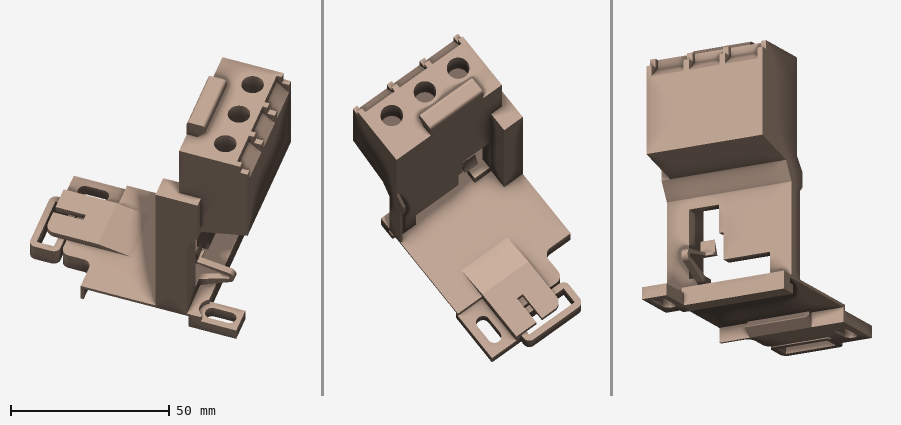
import cadquery as cq

WIDTH = 76.2
DEPTH = 45.0
HEIGHT = 85.0

PLATE_TOP = 5.95
PLATE_THICKNESS = 1.0
PLATE_RIGHT = 61.6
PLATE_DEPTH = 44.8
PLATE_UNDERSIDE = PLATE_TOP - PLATE_THICKNESS
CLIP_LEFT = 10.8
CLIP_RIGHT = 21.3
CLIP_FRONT = 10.9
CLIP_CORNER_RADIUS = 2.7
SKIRT_RIGHT = CLIP_RIGHT + PLATE_THICKNESS

EAR_LEFT = 3.5
EAR_FRONT = 35.1
EAR_THICKNESS = 4.0
SLOT_LENGTH = 10.3
SLOT_WIDTH = 4.4
EAR_SLOT_CENTER = (11.8, 39.8)
FOOT_LEFT = 57.55
FOOT_RIGHT = 73.4
FOOT_DEPTH = 8.8
FOOT_SLOT_CENTER = (66.7, 4.4)
SCREW_HEAD_DIAMETER = 8.2

RING_RIGHT = 10.0
RING_BACK = 33.15
RING_WALL = 2.1
RING_CORNER_RADIUS = 2.2

PAD_FRONT = 16.8
PAD_TOP = 7.9
PAD_RAMP_END = 32.4
PAD_CORNER_RADIUS = 3.0
PAD_SLOT_FRONT = 24.9
PAD_SLOT_BACK = 27.2
PAD_SLOT_END = 13.6

TOOTH_TIP = (25.75, 2.5)
TOOTH_ROOT = (23.7, 3.9)
CATCH_LEFT = 55.5
CATCH_TOP = 3.0
CATCH_FRONT = 5.1

BODY_LEFT = 53.2
BODY_FRONT = 3.15
BODY_TOP = 79.1
BODY_LOW_RIGHT = 47.0
WALL_RIGHT = 56.95
SHOULDER_RIGHT = 60.5
SHOULDER_TOP = 43.1
SHOULDER_BOTTOM = 36.9
STEP_LEFT = 73.7
STEP_HEIGHT = 2.9

WINDOW_FRONT = 8.1
WINDOW_STEP_BACK = 18.9
WINDOW_MIDDLE_BACK = 20.4
WINDOW_BACK = 37.2
WINDOW_TOP = 33.2
WINDOW_STEP = 23.8
WINDOW_LOW_TOP = 14.7

HOLE_DIAMETER = 7.1
HOLE_DEPTH = 10.2
HOLE_X = 66.05
HOLE_FIRST_Y = 10.8
HOLE_PITCH = 13.2
HOLE_COUNT = 3
ENTRY_LEFT = 72.0
ENTRY_DROP = 3.6
ENTRY_SPANS = ((5.0, 16.5), (18.45, 29.5), (31.45, 43.2))

LIP_FRONT = 10.5
LIP_BACK = 31.4
LIP_RIGHT = 59.4
LIP_UNDERCUT_TOP = 82.1
LIP_ROUND = 1.0

COLUMN_LEFT = 46.4
COLUMN_DEPTH = 7.4
COLUMN_TOP = 59.0

STRIP_THICKNESS = 0.9
STRIP_LEFT = 51.3
BARB_LEFT = 49.7
BARB_TOP = 46.2
BARB_SHOULDER = 42.0
BARB_BOTTOM = 36.9

SPRING_FRONT = 11.65
SPRING_BACK = 13.9
SPRING_ROOT_TOP = 10.1
SPRING_ROOT_BOTTOM = 7.1
SPRING_TIP_X = 68.7
SPRING_INNER_TIP_X = 67.15
SPRING_TIP_Z = 14.45
SPRING_BEND_X = 67.3
SPRING_INNER_BEND_X = 66.2
SPRING_BEND_HALF = 2.0
SPRING_INNER_BEND_HALF = 0.8
SPRING_TOP = 17.9
SPRING_STRIP = 0.9
WEDGE_LEFT = 54.4
WEDGE_RIGHT = 56.1
WEDGE_BACK = 16.8
WEDGE_BOTTOM = 17.25
WEDGE_HEEL = 17.4
WEDGE_TOP = 22.2


def block(x_span, y_span, z_span):
    """Box between the given limits along X, Y and Z."""
    size = [high - low for low, high in (x_span, y_span, z_span)]
    return cq.Workplane("XY").box(*size, centered=False).translate((x_span[0], y_span[0], z_span[0]))


def extrude_along_y(outline, front, back):
    """Solid from a closed XZ outline, reaching from front to back along Y."""
    return outline.close().extrude(front - back).translate((0, front, 0))


def xz_prism(points, front, back):
    """Prism with a straight-sided XZ outline."""
    return extrude_along_y(cq.Workplane("XZ").polyline(points), front, back)


def screw_slot(center, top):
    return cq.Workplane("XY").center(*center).slot2D(SLOT_LENGTH, SLOT_WIDTH).extrude(top)


def base_plate():
    plate = block((CLIP_RIGHT, PLATE_RIGHT), (0, PLATE_DEPTH), (PLATE_UNDERSIDE, PLATE_TOP))
    skirt = block((CLIP_RIGHT, SKIRT_RIGHT), (0, PLATE_DEPTH), (0, PLATE_TOP))
    return plate.union(skirt)


def clip_end():
    """Thick end left of the plate, rounded outside and blended into the skirt."""
    radius = CLIP_CORNER_RADIUS
    outline = (
        cq.Workplane("XY")
        .moveTo(CLIP_LEFT, EAR_FRONT)
        .lineTo(CLIP_LEFT, CLIP_FRONT + radius)
        .radiusArc((CLIP_LEFT + radius, CLIP_FRONT), -radius)
        .lineTo(CLIP_RIGHT - radius, CLIP_FRONT)
        .radiusArc((CLIP_RIGHT, CLIP_FRONT - radius), radius)
        .lineTo(CLIP_RIGHT, EAR_FRONT)
        .close()
    )
    return outline.extrude(PLATE_TOP)


def mounting_ear():
    ear = block((EAR_LEFT, CLIP_RIGHT), (EAR_FRONT, PLATE_DEPTH), (0, EAR_THICKNESS))
    bridge = block((EAR_LEFT, CLIP_RIGHT), (RING_BACK, EAR_FRONT), (0, PLATE_TOP))
    return ear.union(bridge).cut(screw_slot(EAR_SLOT_CENTER, EAR_THICKNESS))


def pull_ring():
    ring = block((0, RING_RIGHT), (CLIP_FRONT, RING_BACK), (0, PLATE_TOP))
    ring = ring.edges("|Z").fillet(RING_CORNER_RADIUS)
    opening = block(
        (RING_WALL, RING_RIGHT - RING_WALL),
        (CLIP_FRONT + RING_WALL, RING_BACK - RING_WALL),
        (0, PLATE_TOP),
    )
    return ring.cut(opening)


def thumb_pad():
    profile = [
        (EAR_LEFT, PLATE_TOP),
        (EAR_LEFT, PAD_TOP),
        (CLIP_RIGHT, PAD_TOP),
        (PAD_RAMP_END, PLATE_TOP),
    ]
    pad = xz_prism(profile, PAD_FRONT, EAR_FRONT)
    pad = pad.edges("|Z and <X and <Y").fillet(PAD_CORNER_RADIUS)
    slot = block((EAR_LEFT, PAD_SLOT_END), (PAD_SLOT_FRONT, PAD_SLOT_BACK), (PLATE_TOP, PAD_TOP))
    return pad.cut(slot)


def rail_tooth():
    profile = [
        (SKIRT_RIGHT, 0),
        TOOTH_TIP,
        TOOTH_ROOT,
        (TOOTH_ROOT[0], PLATE_UNDERSIDE),
        (SKIRT_RIGHT, PLATE_UNDERSIDE),
    ]
    return xz_prism(profile, CLIP_FRONT, RING_BACK)


def rail_shoulder():
    """Rail stop under the right edge of the plate, with its catch."""
    stop = block((FOOT_LEFT, PLATE_RIGHT), (0, PLATE_DEPTH), (0, PLATE_TOP))
    catch = block((CATCH_LEFT, FOOT_LEFT), (CATCH_FRONT, PLATE_DEPTH), (0, CATCH_TOP))
    return stop.union(catch)


def mounting_foot():
    return block((FOOT_LEFT, FOOT_RIGHT), (0, FOOT_DEPTH), (0, EAR_THICKNESS))


def foot_screw_clearance():
    """Screw slot in the foot, with room for the screw head where the plate overlaps it."""
    slot_end_x = FOOT_SLOT_CENTER[0] - (SLOT_LENGTH - SLOT_WIDTH) / 2
    head_room = cq.Workplane("XY", origin=(slot_end_x, FOOT_SLOT_CENTER[1], EAR_THICKNESS))
    head_room = head_room.circle(SCREW_HEAD_DIAMETER / 2).extrude(PLATE_TOP - EAR_THICKNESS)
    return screw_slot(FOOT_SLOT_CENTER, EAR_THICKNESS).union(head_room)


def terminal_body():
    profile = [
        (BODY_LEFT, PLATE_TOP),
        (WALL_RIGHT, PLATE_TOP),
        (WALL_RIGHT, SHOULDER_BOTTOM),
        (SHOULDER_RIGHT, SHOULDER_TOP),
        (WIDTH, BODY_LOW_RIGHT),
        (WIDTH, BODY_TOP - STEP_HEIGHT),
        (STEP_LEFT, BODY_TOP - STEP_HEIGHT),
        (STEP_LEFT, BODY_TOP),
        (BODY_LEFT, BODY_TOP),
    ]
    return xz_prism(profile, BODY_FRONT, DEPTH)


def wall_window():
    """Stepped opening through the wall, leaving the spring's root block standing."""
    outline = [
        (SPRING_BACK, PLATE_TOP),
        (SPRING_BACK, SPRING_ROOT_TOP),
        (WINDOW_FRONT, SPRING_ROOT_TOP),
        (WINDOW_FRONT, WINDOW_TOP),
        (WINDOW_STEP_BACK, WINDOW_TOP),
        (WINDOW_STEP_BACK, WINDOW_STEP),
        (WINDOW_MIDDLE_BACK, WINDOW_STEP),
        (WINDOW_MIDDLE_BACK, WINDOW_LOW_TOP),
        (WINDOW_BACK, WINDOW_LOW_TOP),
        (WINDOW_BACK, PLATE_TOP),
    ]
    wall_face = cq.Workplane("YZ", origin=(BODY_LEFT, 0, 0))
    return wall_face.polyline(outline).close().extrude(WALL_RIGHT - BODY_LEFT)


def screw_holes():
    centers = [(HOLE_X, HOLE_FIRST_Y + index * HOLE_PITCH) for index in range(HOLE_COUNT)]
    top_plane = cq.Workplane("XY", origin=(0, 0, BODY_TOP))
    return top_plane.pushPoints(centers).circle(HOLE_DIAMETER / 2).extrude(-HOLE_DEPTH)


def wire_entry(front, back):
    """Notch in the top right edge, level with the step, with a floor sloping outward."""
    floor_top = BODY_TOP - STEP_HEIGHT
    profile = [
        (ENTRY_LEFT, BODY_TOP),
        (WIDTH, BODY_TOP),
        (WIDTH, floor_top - ENTRY_DROP),
        (ENTRY_LEFT, floor_top),
    ]
    return xz_prism(profile, front, back)


def top_lip():
    profile = [
        (BODY_LEFT, BODY_TOP),
        (BODY_LEFT, HEIGHT),
        (LIP_RIGHT, HEIGHT),
        (LIP_RIGHT, LIP_UNDERCUT_TOP),
        (WALL_RIGHT, BODY_TOP),
    ]
    return xz_prism(profile, LIP_FRONT, LIP_BACK).faces(">Z").edges("|Y").fillet(LIP_ROUND)


def front_column():
    profile = [
        (COLUMN_LEFT, PLATE_TOP),
        (WALL_RIGHT, PLATE_TOP),
        (WALL_RIGHT, SHOULDER_BOTTOM),
        (SHOULDER_RIGHT, SHOULDER_TOP),
        (SHOULDER_RIGHT, COLUMN_TOP),
        (COLUMN_LEFT, COLUMN_TOP),
    ]
    return xz_prism(profile, 0, COLUMN_DEPTH)


def side_catch():
    profile = [
        (BODY_LEFT, PLATE_TOP),
        (STRIP_LEFT, PLATE_TOP),
        (STRIP_LEFT, BARB_BOTTOM - (STRIP_LEFT - BARB_LEFT)),
        (BARB_LEFT, BARB_BOTTOM),
        (BARB_LEFT, BARB_SHOULDER),
        (BODY_LEFT, BARB_TOP),
    ]
    return xz_prism(profile, DEPTH - STRIP_THICKNESS, DEPTH)


def spring_loop():
    """Bent strip rising from the root block and returning to a wedge-shaped end."""
    loop = (
        cq.Workplane("XZ")
        .moveTo(WALL_RIGHT, SPRING_ROOT_BOTTOM)
        .lineTo(SPRING_BEND_X, SPRING_TIP_Z - SPRING_BEND_HALF)
        .threePointArc((SPRING_TIP_X, SPRING_TIP_Z), (SPRING_BEND_X, SPRING_TIP_Z + SPRING_BEND_HALF))
        .lineTo(WALL_RIGHT, SPRING_TOP)
        .lineTo(WALL_RIGHT, SPRING_TOP - SPRING_STRIP)
        .lineTo(SPRING_INNER_BEND_X, SPRING_TIP_Z + SPRING_INNER_BEND_HALF)
        .threePointArc(
            (SPRING_INNER_TIP_X, SPRING_TIP_Z),
            (SPRING_INNER_BEND_X, SPRING_TIP_Z - SPRING_INNER_BEND_HALF),
        )
        .lineTo(WALL_RIGHT, SPRING_ROOT_TOP)
    )
    wedge = [
        (WEDGE_LEFT, WEDGE_BOTTOM),
        (WEDGE_LEFT, WEDGE_HEEL),
        (WEDGE_RIGHT, WEDGE_TOP),
        (WEDGE_RIGHT, SPRING_TOP),
        (WALL_RIGHT, SPRING_TOP),
        (WALL_RIGHT, SPRING_TOP - SPRING_STRIP),
    ]
    strip = extrude_along_y(loop, SPRING_FRONT, SPRING_BACK)
    return strip.union(xz_prism(wedge, SPRING_FRONT, WEDGE_BACK))


body = terminal_body().cut(wall_window()).cut(screw_holes())
for front, back in ENTRY_SPANS:
    body = body.cut(wire_entry(front, back))

result = base_plate().union(rail_shoulder()).union(mounting_foot()).cut(foot_screw_clearance())
for feature in (
    clip_end(),
    mounting_ear(),
    pull_ring(),
    thumb_pad(),
    rail_tooth(),
    body,
    top_lip(),
    front_column(),
    side_catch(),
    spring_loop(),
):
    result = result.union(feature)